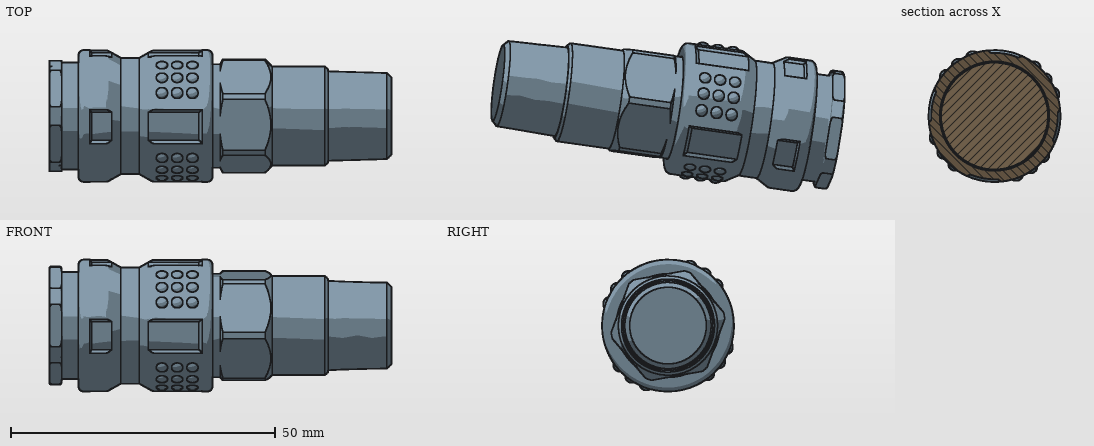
import cadquery as cq
import math


LENGTH = 64.8

PLUG_HEX_FLATS = 20.9
PLUG_HEX_DIA = 22.4
PLUG_HEX_END = 2.35
PLUG_CORNER_FILLET = 0.45
SHANK_DIA = 20.3
SHANK_ROOT_FILLET = 0.29

SLEEVE_SPIN = 9.5
SLEEVE_START = 5.5
SLEEVE_END = 30.9
SLEEVE_DIA = 25.0
SLEEVE_END_FILLET = 1.05
SHANK_BORE_DIA = 20.7
WAIST_DIA = 22.0
WAIST_START = 13.55
WAIST_END = 17.05
WAIST_SLOPE = 30.0
WAIST_EDGE_FILLET = 1.0
SIDES = 4

POCKET_DEPTH = 0.5
POCKET_FLOOR_WIDTH = 5.3
POCKET_RIM_WIDTH = 6.55
LEFT_POCKET_RIM = 7.65
LEFT_POCKET_WALL = 0.4
RIGHT_POCKET_RIM = 28.95
RIGHT_POCKET_WALL = 0.65

BUMP_DIA = 2.15
BUMP_HEIGHT = 0.5
BUMP_ROWS = 3
BUMP_FIRST_X = 21.3
BUMP_LAST_X = 27.1
BUMP_PITCH_ANGLE = 15.0

NECK_DIA = 19.6
NECK_END = 32.3
HEX_FLATS = 19.3
HEX_SPIN = 40.0
HEX_DIA = 21.65
HEX_FULL_START = 32.85
HEX_FULL_END = 40.8
BARREL_DIA = 18.8
BARREL_START = 42.2
BARREL_END = 52.75
BARREL_CHAMFER = 0.6
STUB_START_DIA = 17.0
STUB_END_DIA = 16.3
STUB_CHAMFER = 0.9

SLEEVE_RADIUS = SLEEVE_DIA / 2
BUMP_PITCH_X = (BUMP_LAST_X - BUMP_FIRST_X) / (BUMP_ROWS - 1)
WAIST_RADIUS = WAIST_DIA / 2
BORE_STEP = (WAIST_START + WAIST_END) / 2


def revolve_x(points):
    """Turn a closed (x, radius) outline about the X axis."""
    return cq.Workplane("XY").polyline(points).close().revolve(360, (0, 0, 0), (1, 0, 0))


def hex_prism(start, end, flats, angle):
    """Hexagonal bar along X; at angle 0 two of its corners lie on Z."""
    corner_dia = flats / math.cos(math.pi / 6)
    bar = cq.Workplane("YZ", origin=(start, 0, 0)).polygon(6, corner_dia).extrude(end - start)
    return bar.rotate((0, 0, 0), (1, 0, 0), 90 + angle)


def make_plug_hex():
    """Hexagon with its corners cut back to a round, and that round's edges filleted."""
    disc = cq.Workplane("YZ").circle(PLUG_HEX_DIA / 2).extrude(PLUG_HEX_END)
    rounded_disc = disc.edges("%CIRCLE").fillet(PLUG_CORNER_FILLET)
    return rounded_disc.intersect(hex_prism(0, PLUG_HEX_END, PLUG_HEX_FLATS, 0))


def make_shank():
    """Round shank, with a concave fillet against the back of the plug hexagon."""
    radius = SHANK_DIA / 2
    root_radius = radius + SHANK_ROOT_FILLET
    fillet_end = PLUG_HEX_END + SHANK_ROOT_FILLET
    sag = SHANK_ROOT_FILLET * math.sqrt(0.5)
    outline = (
        cq.Workplane("XY")
        .moveTo(PLUG_HEX_END, 0)
        .lineTo(PLUG_HEX_END, root_radius)
        .threePointArc((fillet_end - sag, root_radius - sag), (fillet_end, radius))
        .lineTo(BORE_STEP, radius)
        .lineTo(BORE_STEP, 0)
        .close()
    )
    return outline.revolve(360, (0, 0, 0), (1, 0, 0))


def make_wrench_hex():
    """Neck and hexagon; the flats run on through the neck."""
    blank = revolve_x([
        (SLEEVE_END, 0),
        (SLEEVE_END, NECK_DIA / 2),
        (NECK_END, NECK_DIA / 2),
        (HEX_FULL_START, HEX_DIA / 2),
        (HEX_FULL_END, HEX_DIA / 2),
        (BARREL_START, BARREL_DIA / 2),
        (BARREL_START, 0),
    ])
    hexagon = hex_prism(SLEEVE_END, BARREL_START, HEX_FLATS, HEX_SPIN)
    return blank.intersect(hexagon)


def make_core():
    """One solid from the plug hexagon to the chamfered stub."""
    spindle_length = SLEEVE_END - BORE_STEP
    spindle = cq.Workplane("YZ", origin=(BORE_STEP, 0, 0)).circle(NECK_DIA / 2).extrude(spindle_length)
    stub = revolve_x([
        (BARREL_START, 0),
        (BARREL_START, BARREL_DIA / 2),
        (BARREL_END - BARREL_CHAMFER, BARREL_DIA / 2),
        (BARREL_END, BARREL_DIA / 2 - BARREL_CHAMFER),
        (BARREL_END, STUB_START_DIA / 2),
        (LENGTH - STUB_CHAMFER, STUB_END_DIA / 2),
        (LENGTH, STUB_END_DIA / 2 - STUB_CHAMFER),
        (LENGTH, 0),
    ])
    return make_plug_hex().union(make_shank()).union(spindle).union(make_wrench_hex()).union(stub)


def make_sleeve_blank():
    """Waisted tube whose bore steps down from the shank to the spindle."""
    slope_length = (SLEEVE_RADIUS - WAIST_RADIUS) / math.tan(math.radians(WAIST_SLOPE))
    left_shoulder = WAIST_START - slope_length
    right_shoulder = WAIST_END + slope_length
    blank = revolve_x([
        (SLEEVE_START, SHANK_BORE_DIA / 2),
        (SLEEVE_START, SLEEVE_RADIUS),
        (left_shoulder, SLEEVE_RADIUS),
        (WAIST_START, WAIST_RADIUS),
        (WAIST_END, WAIST_RADIUS),
        (right_shoulder, SLEEVE_RADIUS),
        (SLEEVE_END, SLEEVE_RADIUS),
        (SLEEVE_END, NECK_DIA / 2),
        (BORE_STEP, NECK_DIA / 2),
        (BORE_STEP, SHANK_BORE_DIA / 2),
    ])

    reach = 0.05
    for x, radius in (
        (SLEEVE_START, SLEEVE_END_FILLET),
        (left_shoulder, WAIST_EDGE_FILLET),
        (right_shoulder, WAIST_EDGE_FILLET),
        (SLEEVE_END, SLEEVE_END_FILLET),
    ):
        at_x = cq.selectors.BoxSelector((x - reach, -reach, -reach), (x + reach, reach, reach))
        blank = blank.edges(at_x).edges(cq.selectors.RadiusNthSelector(-1)).fillet(radius)
    return blank


def make_pocket_cutter(rim_x, wall_length, waist_x):
    """Pocket on the +Z side, from its sloping end wall at rim_x to where it runs out over the waist."""
    floor_radius = SLEEVE_RADIUS - POCKET_DEPTH
    toward_waist = math.copysign(1, waist_x - rim_x)
    ring = revolve_x([
        (rim_x + toward_waist * wall_length, floor_radius),
        (rim_x - toward_waist * wall_length, SLEEVE_RADIUS + POCKET_DEPTH),
        (waist_x, SLEEVE_RADIUS + POCKET_DEPTH),
        (waist_x, floor_radius),
    ])
    floor_half = POCKET_FLOOR_WIDTH / 2
    rim_half = POCKET_RIM_WIDTH / 2
    floor_z = math.sqrt(floor_radius ** 2 - floor_half ** 2)
    rim_z = math.sqrt(SLEEVE_RADIUS ** 2 - rim_half ** 2)
    widening = (rim_half - floor_half) / (rim_z - floor_z)
    top_z = SLEEVE_RADIUS + POCKET_DEPTH
    top_half = rim_half + widening * (top_z - rim_z)
    wedge = (
        cq.Workplane("YZ")
        .polyline([(-floor_half, floor_z), (floor_half, floor_z), (top_half, top_z), (-top_half, top_z)])
        .close()
        .extrude(LENGTH)
    )
    return ring.intersect(wedge)


def make_bump(x, angle):
    """Domed grip bump, turned by angle from +Z; its ball reaches below the sleeve surface."""
    ball_radius = ((BUMP_DIA / 2) ** 2 + BUMP_HEIGHT ** 2) / (2 * BUMP_HEIGHT)
    center_z = SLEEVE_RADIUS + BUMP_HEIGHT - ball_radius
    ball = cq.Workplane("YZ").sphere(ball_radius).translate((x, 0, center_z))
    return ball.rotate((0, 0, 0), (1, 0, 0), angle)


def make_sleeve():
    """Sleeve with its pockets cut and the grip bumps set between them."""
    sleeve = make_sleeve_blank()
    cutters = (
        make_pocket_cutter(LEFT_POCKET_RIM, LEFT_POCKET_WALL, WAIST_START),
        make_pocket_cutter(RIGHT_POCKET_RIM, RIGHT_POCKET_WALL, WAIST_END),
    )
    for side in range(SIDES):
        pocket_angle = SLEEVE_SPIN + side * 360 / SIDES
        for cutter in cutters:
            sleeve = sleeve.cut(cutter.rotate((0, 0, 0), (1, 0, 0), pocket_angle))
        field_angle = pocket_angle + 180 / SIDES
        for row in range(BUMP_ROWS):
            bump_angle = field_angle + (row - (BUMP_ROWS - 1) / 2) * BUMP_PITCH_ANGLE
            for column in range(BUMP_ROWS):
                sleeve = sleeve.union(make_bump(BUMP_FIRST_X + column * BUMP_PITCH_X, bump_angle))
    return sleeve


core = make_core()
sleeve = make_sleeve()
result = cq.Compound.makeCompound([core.val(), sleeve.val()])